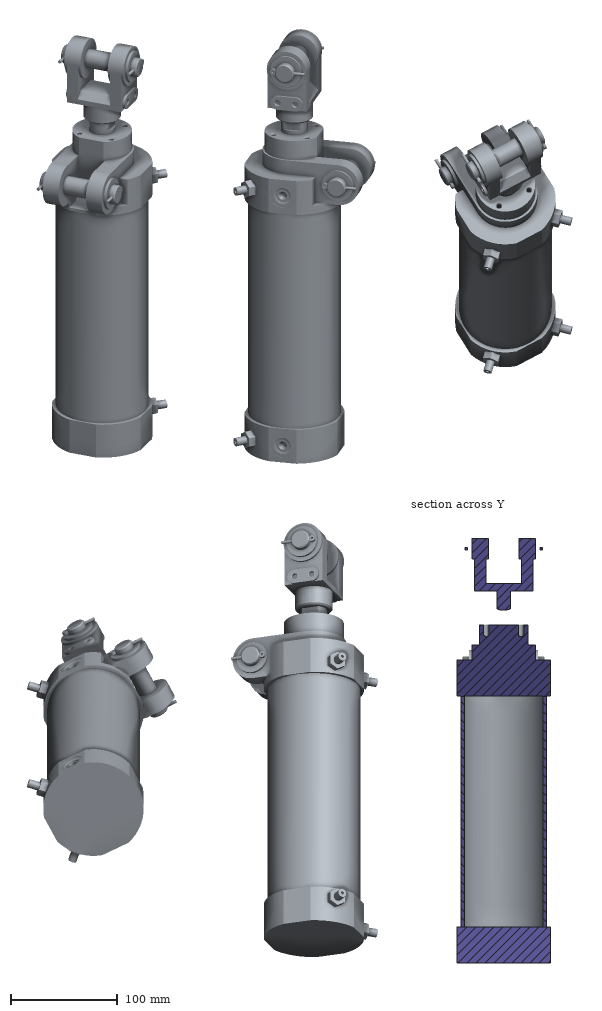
import cadquery as cq
import math

tube_diameter = 87
tube_bore = 80
cap_diameter = 94
cap_across_flats = 90
cap_height = 34
head_bottom = 250
head_top = head_bottom + cap_height

lug_radius = 20
lug_y = -50
lug_z = 278
bracket_half_width = 30
bracket_bottom = lug_z - lug_radius
bracket_top = lug_z + lug_radius
notch_y = -27.5
fork_half_gap = 14
fork_back_y = -25
fork_ramp = 5
collar_diameter = 56
collar_top = 317
screw_hole_diameter = 4.92
screw_hole_mouth = 6
drill_point_slope = 31
collar_hole_circle = 46
collar_hole_depth = 10

port_seat_diameter = 23
port_seat_depth = 0.5
port_mouth_diameter = 16.4
port_bore_diameter = 12.6
port_cone_depth = 0.5
port_bore_depth = 0.5
port_socket_diameter = 8
port_passage_diameter = 3
port_socket_depth = 3

valve_reach = 64
valve_stem_diameter = 8
valve_nut_across_flats = 14.6
valve_nut_reach = 53.5
valve_root = 40
valve_tip_hole_diameter = 3
valve_tip_hole_depth = 4
valve_offset = 3.5
valve_shift = 2.5
port_shift = 0.6

rod_diameter = 25
rod_flats = 19
rod_flats_bottom = 321
thread_diameter = 18.38

clevis_pin_z = 388
ear_diameter = 38
boss_diameter = 35
boss_bottom = 330
boss_chamfer = 1.5
clevis_bottom = 348
clevis_plate_inner = 16.5
clevis_plate_outer = 27.5
clevis_base_top = 360
clevis_ramp = 7
ear_inner = fork_half_gap
ear_outer = bracket_half_width
pad_length = 31
pad_height = 13.5
pad_hole_pitch = 17
pad_hole_depth = 8
lock_pin_diameter = 3
lock_pin_z = 336

pin_diameter = 18
pin_half_length = 38.5
pin_chamfer = 1
washer_diameter = 30
washer_thickness = 2.5
cotter_x = 35.2
cotter_diameter = 3
cotter_tail = 19
cotter_eye_y = 11.5
cotter_eye_diameter = 6
cotter_eye_hole = 2.3
cotter_eye_thickness = 2.6


def box(x_range, y_range, z_range):
    """A block between the given limits."""
    (x0, x1), (y0, y1), (z0, z1) = x_range, y_range, z_range
    return cq.Workplane("XY").box(x1 - x0, y1 - y0, z1 - z0, centered=False).translate((x0, y0, z0))


def disc(diameter, bottom, top):
    """A round bar along Z on the cylinder axis."""
    return cq.Workplane("XY").workplane(offset=bottom).circle(diameter / 2).extrude(top - bottom)


def cross_bar(diameter, x0, x1, y, z):
    """A round bar along X."""
    return cq.Workplane("YZ", origin=(x0, y, z)).circle(diameter / 2).extrude(x1 - x0)


def screw_hole(depth):
    """Blind hole cutter along -X from the origin, with a countersunk mouth and a drill point."""
    mouth_depth = (screw_hole_mouth - screw_hole_diameter) / 2
    point_depth = screw_hole_diameter / 2 * math.tan(math.radians(drill_point_slope))
    profile = [
        (0, 0),
        (0, screw_hole_mouth / 2),
        (-mouth_depth, screw_hole_diameter / 2),
        (-depth, screw_hole_diameter / 2),
        (-depth - point_depth, 0),
    ]
    return cq.Workplane("XY").polyline(profile).close().revolve(360, (0, 0), (1, 0))


def port_cutter(z):
    """Stepped air port entering the flat on the -X side."""
    cone_start = port_seat_depth
    cone_end = cone_start + port_cone_depth
    bore_end = cone_end + port_bore_depth
    profile = [
        (0, 0),
        (0, port_seat_diameter / 2),
        (cone_start, port_seat_diameter / 2),
        (cone_start, port_mouth_diameter / 2),
        (cone_end, port_bore_diameter / 2),
        (bore_end, port_bore_diameter / 2),
        (bore_end, port_socket_diameter / 2),
        (bore_end + port_socket_depth, port_passage_diameter / 2),
        (bore_end + port_socket_depth, 0),
    ]
    cutter = cq.Workplane("XY").polyline(profile).close().revolve(360, (0, 0), (1, 0))
    return cutter.translate((-cap_across_flats / 2, 0, z))


def needle_valve(angle, z):
    """Hexagon nut and round stem pointing outwards from the cap."""
    nut_circle = valve_nut_across_flats / math.cos(math.pi / 6)
    nut = cq.Workplane("YZ", origin=(valve_root, 0, 0)).transformed(rotate=(0, 0, 90))
    nut = nut.polygon(6, nut_circle).extrude(valve_nut_reach - valve_root)
    stem = cross_bar(valve_stem_diameter, valve_root, valve_reach, 0, 0)
    tip_hole = cross_bar(valve_tip_hole_diameter, valve_reach - valve_tip_hole_depth, valve_reach, 0, 0)
    valve = nut.union(stem).cut(tip_hole)
    return valve.rotate((0, 0, 0), (0, 0, 1), angle).translate((0, 0, z))


def cap(bottom, left_valve_z, right_valve_z, port_z):
    """Round cap with four flats, a port and two needle valves."""
    half = cap_across_flats / 2
    top = bottom + cap_height
    body = disc(cap_diameter, bottom, top)
    body = body.intersect(box((-half, half), (-half, half), (bottom, top)))
    body = body.union(needle_valve(135, left_valve_z)).union(needle_valve(45, right_valve_z))
    return body.cut(port_cutter(port_z))


def make_base():
    middle = cap_height / 2
    valve_z = middle + valve_shift
    return cap(0, valve_z - valve_offset, valve_z + valve_offset, middle - port_shift)


def make_tube():
    return disc(tube_diameter, cap_height, head_bottom).cut(disc(tube_bore, cap_height, head_bottom))


def make_head():
    """Cap with a forked lug bracket and a collar that guides the rod."""
    middle = head_bottom + cap_height / 2
    valve_z = middle - valve_shift
    body = cap(head_bottom, valve_z + valve_offset, valve_z - valve_offset, middle + port_shift)

    full_width = (-cap_diameter / 2, cap_diameter / 2)
    body = body.cut(box(full_width, (-cap_diameter / 2, notch_y), (bracket_bottom, head_top)))
    x_range = (-bracket_half_width, bracket_half_width)
    body = body.union(box(x_range, (lug_y, notch_y), (bracket_bottom, bracket_top)))
    body = body.union(box(x_range, (notch_y, 0), (head_top, bracket_top)))
    body = body.union(disc(2 * bracket_half_width, head_top, bracket_top))
    body = body.union(cross_bar(2 * lug_radius, *x_range, lug_y, lug_z))
    body = body.union(disc(collar_diameter, bracket_top, collar_top))

    front_y = lug_y - lug_radius
    floor = bracket_bottom - fork_ramp
    gap = (
        cq.Workplane("YZ", origin=(-fork_half_gap, 0, 0))
        .moveTo(front_y, collar_top)
        .lineTo(fork_back_y, collar_top)
        .lineTo(fork_back_y, bracket_bottom)
        .lineTo(fork_back_y - fork_ramp, floor)
        .lineTo(front_y, floor)
        .close()
        .extrude(2 * fork_half_gap)
    )
    body = body.cut(gap)

    for angle in (45, 135, 225, 315):
        hole = screw_hole(collar_hole_depth).rotate((0, 0, 0), (0, 1, 0), -90)
        hole = hole.translate((collar_hole_circle / 2, 0, collar_top))
        body = body.cut(hole.rotate((0, 0, 0), (0, 0, 1), angle))
    body = body.cut(disc(rod_diameter, head_bottom, collar_top))
    return body.cut(cross_bar(pin_diameter, *x_range, lug_y, lug_z))


def lock_pin_bar():
    """Cross pin that locks the rod end in the clevis boss, flush with the boss."""
    return cross_bar(lock_pin_diameter, -boss_diameter / 2, boss_diameter / 2, 0, lock_pin_z)


def make_rod():
    """Rod with two wrench flats and a threaded end inside the clevis."""
    radius = rod_diameter / 2
    body = disc(rod_diameter, head_bottom, boss_bottom)
    for side in (-1, 1):
        flat = box((rod_flats / 2, radius), (-radius, radius), (rod_flats_bottom, boss_bottom))
        body = body.cut(flat if side > 0 else flat.mirror("YZ"))
    return body.union(disc(thread_diameter, boss_bottom, clevis_base_top)).cut(lock_pin_bar())


def make_clevis():
    half = ear_diameter / 2
    body = disc(boss_diameter, boss_bottom, clevis_bottom).faces("<Z").chamfer(boss_chamfer)
    base = box((-clevis_plate_outer, clevis_plate_outer), (-half, half), (clevis_bottom, clevis_base_top))
    base = base.faces(">Z").edges("|X").chamfer(clevis_ramp)
    body = body.union(base)
    for side in (-1, 1):
        plate = box((clevis_plate_inner, clevis_plate_outer), (-half, half), (clevis_bottom, clevis_pin_z))
        ear = cross_bar(ear_diameter, ear_inner, ear_outer, 0, clevis_pin_z)
        pad_z = clevis_bottom + pad_height / 2
        pad = cq.Workplane("YZ", origin=(clevis_plate_outer, 0, pad_z)).slot2D(pad_length, pad_height)
        pad = pad.extrude(ear_outer - clevis_plate_outer)
        arm = plate.union(ear).union(pad)
        for y in (-pad_hole_pitch / 2, pad_hole_pitch / 2):
            arm = arm.cut(screw_hole(pad_hole_depth).translate((ear_outer, y, pad_z)))
        body = body.union(arm if side > 0 else arm.mirror("YZ"))
    body = body.cut(cross_bar(pin_diameter, -ear_outer, ear_outer, 0, clevis_pin_z))
    return body.cut(disc(thread_diameter, boss_bottom, clevis_base_top)).cut(lock_pin_bar())


def make_hinge_pin(y, z):
    """Pin along X with a washer and a cotter at each end."""
    body = cross_bar(pin_diameter, -pin_half_length, pin_half_length, 0, 0).edges().chamfer(pin_chamfer)
    for side in (-1, 1):
        washer = cross_bar(washer_diameter, ear_outer, ear_outer + washer_thickness, 0, 0)
        shank = cq.Workplane("XZ", origin=(cotter_x, pin_diameter / 2, 0)).circle(cotter_diameter / 2)
        shank = shank.extrude(pin_diameter / 2 + cotter_tail)
        eye_start = cotter_x - cotter_eye_thickness / 2
        eye_end = cotter_x + cotter_eye_thickness / 2
        eye = cross_bar(cotter_eye_diameter, eye_start, eye_end, cotter_eye_y, 0)
        eye_hole = cross_bar(cotter_eye_hole, eye_start, eye_end, cotter_eye_y, 0)
        end = washer.union(shank).union(eye).cut(eye_hole)
        body = body.union(end if side > 0 else end.mirror("YZ"))
    return body.translate((0, y, z))


base = make_base()
tube = make_tube()
head = make_head()
rod = make_rod()
clevis = make_clevis()
lock_pin = lock_pin_bar()
hinge_pins = [make_hinge_pin(y, z).val() for y, z in ((lug_y, lug_z), (0, clevis_pin_z))]

result = cq.Compound.makeCompound(
    [base.val(), tube.val(), head.val(), rod.val(), clevis.val(), lock_pin.val(), *hinge_pins]
)